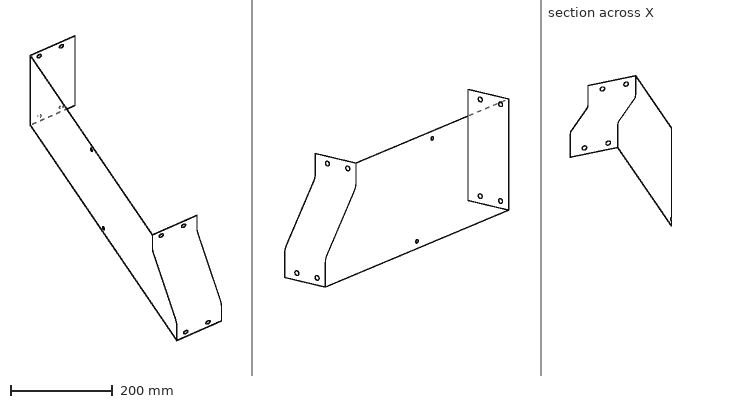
import cadquery as cq

length = 600.0
depth = 100.0
height = 230.0
sheet = 1.0

upper_wall_x = length * 5 / 6
upper_bend_z = height - 50.0
lower_bend_z = 58.0
upper_bend_radius = 21.5
lower_bend_radius = 29.0

panel_hole_diameter = 7.0
flange_hole_diameter = 9.5
hole_edge_distance = 15.0
hole_levels = (hole_edge_distance, height - hole_edge_distance)
panel_hole_positions = ((300.0, hole_levels[0]), (250.0, hole_levels[1]))
flange_hole_depths = (20.5, 70.0)


def side_profile():
    """Solid of the full side outline, with both bends of the right end rounded."""
    body = (
        cq.Workplane("XZ")
        .moveTo(0, 0)
        .lineTo(length, 0)
        .lineTo(length, lower_bend_z)
        .lineTo(upper_wall_x, upper_bend_z)
        .lineTo(upper_wall_x, height)
        .lineTo(0, height)
        .close()
        .extrude(-depth)
    )
    lower_bend = cq.selectors.NearestToPointSelector((length, depth / 2, lower_bend_z))
    upper_bend = cq.selectors.NearestToPointSelector((upper_wall_x, depth / 2, upper_bend_z))
    body = body.edges(lower_bend).fillet(lower_bend_radius)
    return body.edges(upper_bend).fillet(upper_bend_radius)


def bent_sheet():
    """Front panel with a flange on each end; back, top and bottom stay open."""
    open_faces = cq.selectors.StringSyntaxSelector(">Y or >Z or <Z")
    return side_profile().faces(open_faces).shell(-sheet)


def panel_holes():
    """Cutters through the front panel."""
    return (
        cq.Workplane("XZ")
        .pushPoints(panel_hole_positions)
        .circle(panel_hole_diameter / 2)
        .extrude(-2 * sheet)
    )


def flange_holes():
    """Cutters along X through the left flange and both upright walls of the right one."""
    centers = [(y, z) for y in flange_hole_depths for z in hole_levels]
    return cq.Workplane("YZ").pushPoints(centers).circle(flange_hole_diameter / 2).extrude(length)


result = bent_sheet().cut(panel_holes()).cut(flange_holes())